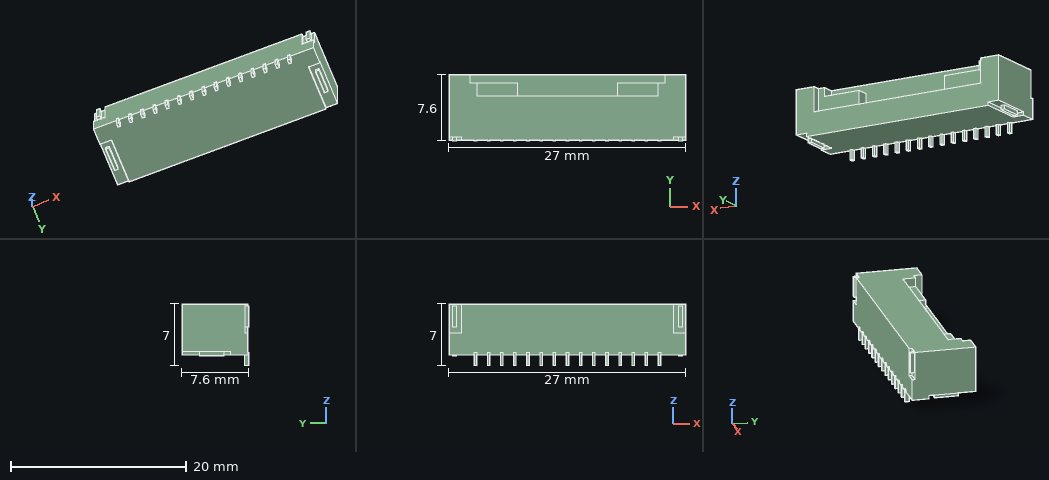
import cadquery as cq

HOUSING_LENGTH = 27.0
HOUSING_DEPTH = 7.5
HOUSING_HEIGHT = 5.8
HALF_LENGTH = HOUSING_LENGTH / 2

STEP_INSET = 2.4
STEP_DEPTH = 0.95
OPENING_INSET = 3.2
OPENING_DEPTH = 2.45
OPENING_FLOOR_DROP = 3.0

BLOCK_LENGTH = 4.6
BLOCK_DROP = 1.05

RECESS_WIDTH = 1.4
FRONT_RECESS_DEPTH = 0.35
FRONT_RECESS_HEIGHT = 3.3
BOTTOM_RECESS_LENGTH = 5.5
BOTTOM_RECESS_HEIGHT = 0.4

PROUD = 0.1
TAB_THICKNESS = 0.45
TAB_INSET = 0.4
FRONT_TAB_TOP_GAP = 0.2
FRONT_TAB_HEIGHT = 2.4
BOTTOM_TAB_REAR_GAP = 1.95
BOTTOM_TAB_LENGTH = 2.8

PIN_COUNT = 15
PIN_PITCH = 1.5
PIN_WIDTH = 0.3
PIN_DEPTH = 0.5
PIN_DROP = 1.2
PIN_RISE = 0.3


def box(x_range, y_range, z_range):
    """Box spanning the given (low, high) range along each axis."""
    x_low, x_high = x_range
    y_low, y_high = y_range
    z_low, z_high = z_range
    solid = cq.Workplane("XY").box(x_high - x_low, y_high - y_low, z_high - z_low, centered=False)
    return solid.translate((x_low, y_low, z_low))


def end_range(side, inset, width):
    """X range of a feature set in from the left (side = -1) or right (side = 1) end."""
    outer = side * (HALF_LENGTH - inset)
    inner = outer - side * width
    return min(outer, inner), max(outer, inner)


def rear_range(depth):
    """Y range reaching forward from the rear face."""
    return HOUSING_DEPTH - depth, HOUSING_DEPTH


def centred_opening(inset, depth):
    """Cutter for one step of the rear opening, from its floor to the top face."""
    half = HALF_LENGTH - inset
    return box((-half, half), rear_range(depth), (HOUSING_HEIGHT - OPENING_FLOOR_DROP, HOUSING_HEIGHT))


def opening_block(side):
    """Low block at one end of the deep opening, in front of the shallow step."""
    return box(
        end_range(side, OPENING_INSET, BLOCK_LENGTH),
        (HOUSING_DEPTH - OPENING_DEPTH, HOUSING_DEPTH - STEP_DEPTH),
        (HOUSING_HEIGHT - OPENING_FLOOR_DROP, HOUSING_HEIGHT - BLOCK_DROP),
    )


def tab_recesses(side):
    """Cutter for the front and bottom recesses at one end."""
    x_range = end_range(side, 0, RECESS_WIDTH)
    front = box(x_range, (0, FRONT_RECESS_DEPTH), (HOUSING_HEIGHT - FRONT_RECESS_HEIGHT, HOUSING_HEIGHT))
    bottom = box(x_range, rear_range(BOTTOM_RECESS_LENGTH), (0, BOTTOM_RECESS_HEIGHT))
    return front.union(bottom)


def solder_tabs(side):
    """Front and bottom solder tabs standing in the recesses at one end."""
    x_range = end_range(side, TAB_INSET, TAB_THICKNESS)
    front_top = HOUSING_HEIGHT - FRONT_TAB_TOP_GAP
    front = box(x_range, (-PROUD, FRONT_RECESS_DEPTH), (front_top - FRONT_TAB_HEIGHT, front_top))
    bottom_rear = HOUSING_DEPTH - BOTTOM_TAB_REAR_GAP
    bottom = box(x_range, (bottom_rear - BOTTOM_TAB_LENGTH, bottom_rear), (-PROUD, BOTTOM_RECESS_HEIGHT))
    return front.union(bottom)


def contact_pin(index):
    """Contact pin, counted from the left end of the row."""
    x = (index - (PIN_COUNT - 1) / 2) * PIN_PITCH
    half_width = PIN_WIDTH / 2
    return box((x - half_width, x + half_width), (-PROUD, PIN_DEPTH - PROUD), (-PIN_DROP, PIN_RISE))


result = box((-HALF_LENGTH, HALF_LENGTH), (0, HOUSING_DEPTH), (0, HOUSING_HEIGHT))
result = result.cut(centred_opening(STEP_INSET, STEP_DEPTH))
result = result.cut(centred_opening(OPENING_INSET, OPENING_DEPTH))

for end in (-1, 1):
    result = result.union(opening_block(end))
    result = result.cut(tab_recesses(end))
    result = result.union(solder_tabs(end))

for pin in range(PIN_COUNT):
    result = result.union(contact_pin(pin))